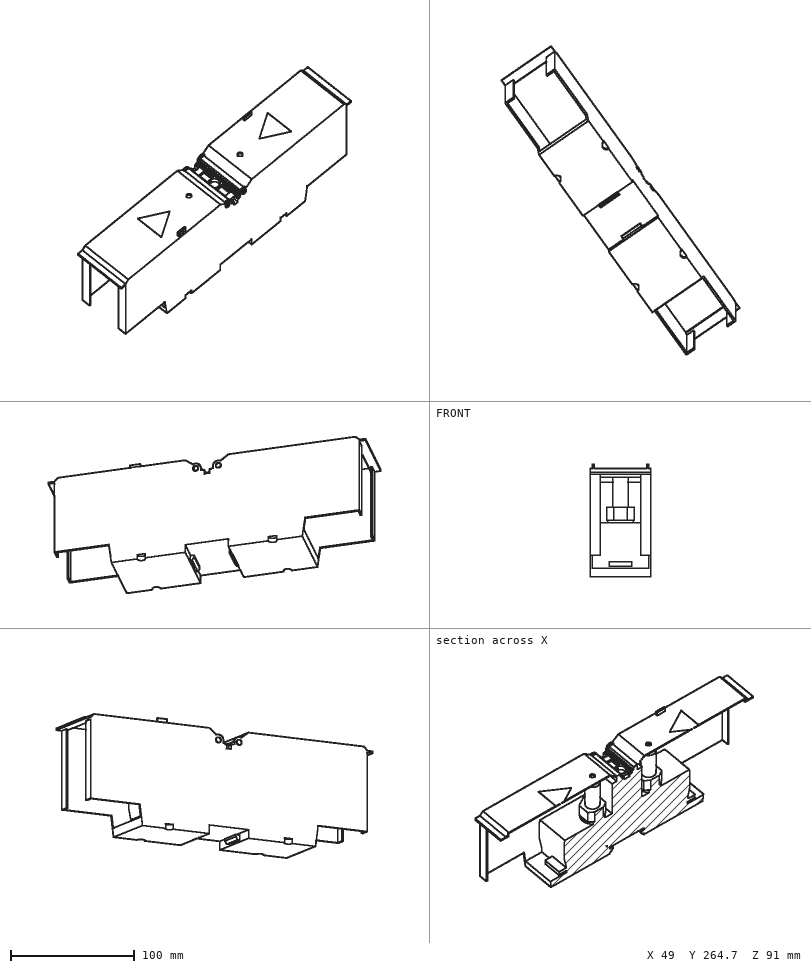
import cadquery as cq
import math

width = 49.0
length = 264.7
height = 91.0
half_width = width / 2
half_length = length / 2
wall = 1.5
inner_width = width - 2 * wall

cover_top = 87.5
cover_bottom = 17.5
cover_end = 127.3
roof_thickness = 1.5
lip_top = 84.5
end_chamfer = cover_top - lip_top
slope_top_y = 18.0
slope_bottom_y = 10.9
slope_bottom_z = 80.5
flange_width = 8.2
flange_depth = 1.3
grip_length = 8.5
grip_thickness = 1.5
grip_x = 22.0
grip_y = 60.4
arrow_side = 27.0
arrow_base_y = 75.0
arrow_depth = 0.3
access_hole_radius = 2.0

rail_half = 18.0
rail_depth = 7.1
hook_reach = 3.5
hook_bottom = 1.5
hook_top = 5.8
clip_width = 18.5
clip_tab_bottom = 8.7
clip_tab_top = 12.5
clip_tab_end = 71.5

plate_top = 81.3
plate_end = 72.3
plate_end_bottom = 21.7
plate_end_top = 71.2
floor_top = rail_depth
foot_end = 79.7
foot_shoulder = 82.0
foot_shoulder_z = 18.3
terminal_top = 43.7
terminal_end = 66.2
terminal_face_bottom = 23.8
terminal_foot_end = 63.5
terminal_foot_top = 11.0
terminal_chamfer_z = 2.6
terminal_chamfer_y = 0.8
core_end = 16.0
bottom_notch_y = 54.8
bottom_notch_radius = 3.5
bottom_notch_height = 4.0

channel_half = 5.0
channel_floor = 76.5
hinge_y = 9.5
hinge_z = 78.5
knuckle_radius = 4.5
knuckle_length = 1.9
pin_radius = 2.25
pin_recess = 0.8
spine_top = slope_bottom_z + roof_thickness
spine_ledge = 1.5
spine_ledge_z = 79.0
groove_width = 7.1
groove_depth = 0.5
slot_length = 29.6
slot_width = 5.8
slot_depth = 2.6
pad_half = 5.0
pad_hole_radius = 4.5
pad_hole_depth = 4.0
side_notch_size = 4.2

bolt_y = 29.5
shaft_radius = 6.0
nut_corner_diameter = 22.0
nut_bottom = 45.8
nut_top = 56.5
washer_radius = 10.3

SIDES = (-1, 1)


def along_x(points, x_size):
    """Extrude a closed (y, z) outline symmetrically about x = 0."""
    return cq.Workplane("YZ").polyline(points).close().extrude(x_size / 2, both=True)


def box(x_range, y_range, z_range):
    """Box given by its limits along the three axes."""
    ranges = (x_range, y_range, z_range)
    sizes = [high - low for low, high in ranges]
    corner = tuple(low for low, _ in ranges)
    return cq.Workplane("XY", origin=corner).box(*sizes, centered=False)


def upright(radius, x, y, z_low, z_high):
    """Vertical cylinder."""
    return cq.Workplane("XY", origin=(x, y, z_low)).circle(radius).extrude(z_high - z_low)


def half_cover():
    """Hood over one terminal: thin walls, roof, end lip, end flanges."""
    outline = [
        (hinge_y, cover_bottom),
        (cover_end, cover_bottom),
        (cover_end, lip_top),
        (cover_end - end_chamfer, cover_top),
        (slope_top_y, cover_top),
        (slope_bottom_y, spine_top),
        (hinge_y, spine_top),
    ]
    under_roof = [
        (hinge_y, cover_bottom),
        (cover_end, cover_bottom),
        (cover_end, lip_top - roof_thickness),
        (cover_end - end_chamfer, cover_top - roof_thickness),
        (slope_top_y, cover_top - roof_thickness),
        (slope_bottom_y, slope_bottom_z),
        (hinge_y, slope_bottom_z),
    ]
    hood = along_x(outline, width).cut(along_x(under_roof, inner_width))
    lip = box(
        (-half_width, half_width),
        (cover_end - end_chamfer, half_length),
        (lip_top - roof_thickness, lip_top),
    )
    hood = hood.union(lip)
    for side in SIDES:
        edges = sorted((side * half_width, side * (half_width - flange_width)))
        flange = box(edges, (cover_end - flange_depth, cover_end), (cover_bottom, lip_top))
        hood = hood.union(flange)
    grip = box(
        (-grip_x - grip_thickness / 2, -grip_x + grip_thickness / 2),
        (grip_y - grip_length / 2, grip_y + grip_length / 2),
        (cover_top - roof_thickness, height),
    )
    arrow = (
        cq.Workplane("XY", origin=(0, 0, cover_top - arrow_depth))
        .polyline([
            (-arrow_side / 2, arrow_base_y),
            (arrow_side / 2, arrow_base_y),
            (0, arrow_base_y - arrow_side * math.sqrt(3) / 2),
        ])
        .close()
        .extrude(arrow_depth)
    )
    access_hole = upright(access_hole_radius, 0, bolt_y, slope_bottom_z, cover_top)
    return hood.union(grip).cut(arrow).cut(access_hole)


def half_base():
    """Side plates and terminal core of one half, with rail hook and clip tab."""
    plate_outline = [
        (0, rail_depth),
        (rail_half, rail_depth),
        (rail_half, 0),
        (foot_end, 0),
        (foot_shoulder, foot_shoulder_z),
        (plate_end, plate_end_bottom),
        (plate_end, plate_end_top),
        (terminal_end, plate_top),
        (hinge_y, plate_top),
        (channel_half, hinge_z),
        (channel_half, channel_floor),
        (0, channel_floor),
    ]
    floor_end = foot_end + (foot_shoulder - foot_end) * floor_top / foot_shoulder_z
    core_outline = [
        (0, rail_depth),
        (rail_half, rail_depth),
        (rail_half, 0),
        (foot_end, 0),
        (floor_end, floor_top),
        (terminal_foot_end, floor_top),
        (terminal_foot_end, terminal_foot_top),
        (terminal_end, terminal_face_bottom),
        (terminal_end, terminal_top - terminal_chamfer_z),
        (terminal_end - terminal_chamfer_y, terminal_top),
        (core_end, terminal_top),
        (core_end, channel_floor),
        (slope_bottom_y, channel_floor),
        (slope_bottom_y, spine_top),
        (channel_half + spine_ledge, spine_top),
        (channel_half + spine_ledge, spine_ledge_z),
        (channel_half, spine_ledge_z),
        (channel_half, channel_floor),
        (0, channel_floor),
    ]
    plates = along_x(plate_outline, width).cut(along_x(plate_outline, inner_width))
    base = plates.union(along_x(core_outline, inner_width))

    hook_outline = [
        (rail_half, hook_bottom),
        (rail_half - hook_reach / 2, hook_bottom),
        (rail_half - hook_reach, hook_top - hook_reach / 2),
        (rail_half - hook_reach, hook_top),
        (rail_half, hook_top),
    ]
    clip_tab = box(
        (-clip_width / 2, clip_width / 2),
        (core_end, clip_tab_end),
        (clip_tab_bottom, clip_tab_top),
    )
    base = base.union(along_x(hook_outline, clip_width)).union(clip_tab)
    for side in SIDES:
        notch = upright(bottom_notch_radius, side * half_width, bottom_notch_y, 0, bottom_notch_height)
        base = base.cut(notch)
    return base


def bolt():
    """Washer, hexagon nut and shaft standing on the terminal."""
    washer = upright(washer_radius, 0, bolt_y, terminal_top, nut_bottom)
    nut = (
        cq.Workplane("XY", origin=(0, bolt_y, nut_bottom))
        .polygon(6, nut_corner_diameter)
        .extrude(nut_top - nut_bottom)
    )
    shaft = upright(shaft_radius, 0, bolt_y, nut_top, slope_bottom_z)
    return washer.union(nut).union(shaft)


def add_knuckles(body):
    """Hinge knuckles at both side faces, each with a recessed pin end."""
    for side in SIDES:
        inner_x = side * (half_width - knuckle_length)
        pin_x = side * (half_width - pin_recess)
        knuckle = (
            cq.Workplane("YZ", origin=(inner_x, 0, 0))
            .center(hinge_y, hinge_z)
            .circle(knuckle_radius)
            .extrude(side * knuckle_length)
        )
        pin_end = (
            cq.Workplane("YZ", origin=(pin_x, 0, 0))
            .center(hinge_y, hinge_z)
            .circle(pin_radius)
            .extrude(side * pin_recess)
        )
        body = body.union(knuckle).cut(pin_end)
    return body


def cut_channel(body):
    """Groove and central slot around a square pad with a round hole, and a notch at each side face."""
    groove = box(
        (-half_width, half_width),
        (-groove_width / 2, groove_width / 2),
        (channel_floor - groove_depth, channel_floor),
    )
    slot = box(
        (-slot_length / 2, slot_length / 2),
        (-slot_width / 2, slot_width / 2),
        (channel_floor - slot_depth, channel_floor),
    )
    pad = box(
        (-pad_half, pad_half),
        (-pad_half, pad_half),
        (channel_floor - slot_depth, channel_floor),
    )
    pad_hole = upright(pad_hole_radius, 0, 0, channel_floor - pad_hole_depth, channel_floor)
    body = body.cut(groove).cut(slot).union(pad).cut(pad_hole)
    for side in SIDES:
        edges = sorted((side * half_width, side * (half_width - side_notch_size)))
        notch = box(
            edges,
            (-side_notch_size / 2, side_notch_size / 2),
            (channel_floor - side_notch_size, channel_floor),
        )
        body = body.cut(notch)
    return body


half = add_knuckles(half_base().union(half_cover()).union(bolt()))
other_half = half.rotate((0, 0, 0), (0, 0, 1), 180)
result = cut_channel(half.union(other_half))